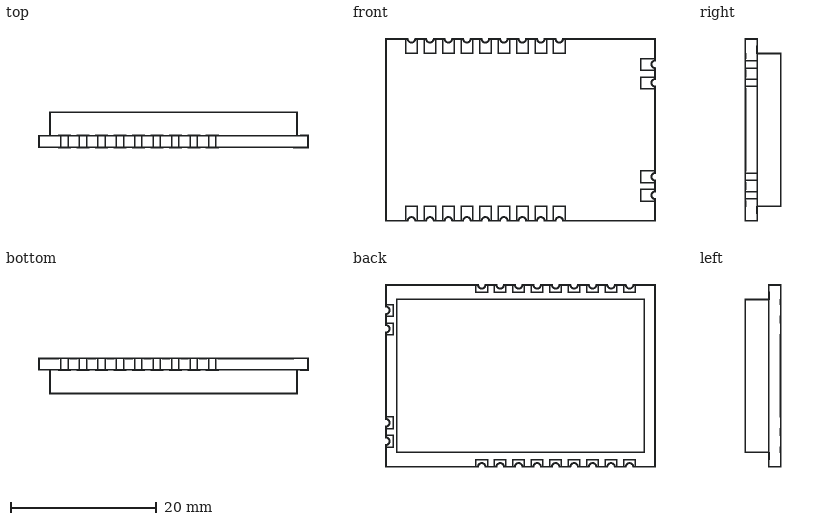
import cadquery as cq

board_length = 37.0
board_height = 25.0
board_thickness = 1.6

cover_side_margin = 1.5
cover_end_margin = 2.0
cover_depth = 3.25

pad_width = 1.6
pad_thickness = 0.05
front_pad_length = 2.0
back_pad_length = 1.0
notch_diameter = 1.0

long_row_count = 9
long_row_span = 20.3
pad_pitch = long_row_span / (long_row_count - 1)
short_group_count = 2
corner_offset = 3.5

half_length = board_length / 2
half_height = board_height / 2
back_face = board_thickness
total_pad_depth = board_thickness + 2 * pad_thickness


def block(x_size, y_size, z_size, x_centre, y_start, z_centre):
    """Box centred in X and Z that grows toward +Y from y_start."""
    return (
        cq.Workplane("XY")
        .box(x_size, y_size, z_size, centered=(True, False, True))
        .translate((x_centre, y_start, z_centre))
    )


def edge_pads(x, z, inward):
    """Front and back pads at an edge point; inward is the (x, z) direction into the board."""
    pads = []
    for length, y_start in ((front_pad_length, -pad_thickness), (back_pad_length, back_face)):
        x_size = length if inward[0] else pad_width
        z_size = length if inward[1] else pad_width
        x_centre = x + inward[0] * length / 2
        z_centre = z + inward[1] * length / 2
        pads.append(block(x_size, pad_thickness, z_size, x_centre, y_start, z_centre))
    return pads


castellations = []
for i in range(long_row_count):
    x = -half_length + corner_offset + i * pad_pitch
    castellations.append((x, half_height, (0, -1)))
    castellations.append((x, -half_height, (0, 1)))
for i in range(short_group_count):
    z = half_height - corner_offset - i * pad_pitch
    castellations.append((half_length, z, (-1, 0)))
    castellations.append((half_length, -z, (-1, 0)))

board = block(board_length, board_thickness, board_height, 0, 0, 0)
cover = block(
    board_length - 2 * cover_side_margin,
    cover_depth,
    board_height - 2 * cover_end_margin,
    0,
    back_face,
    0,
)
result = board.union(cover)

for x, z, inward in castellations:
    for pad in edge_pads(x, z, inward):
        result = result.union(pad)

notch_centres = [(x, z) for x, z, inward in castellations]
notches = (
    cq.Workplane("XZ", origin=(0, -pad_thickness, 0))
    .pushPoints(notch_centres)
    .circle(notch_diameter / 2)
    .extrude(-total_pad_depth)
)
result = result.cut(notches)